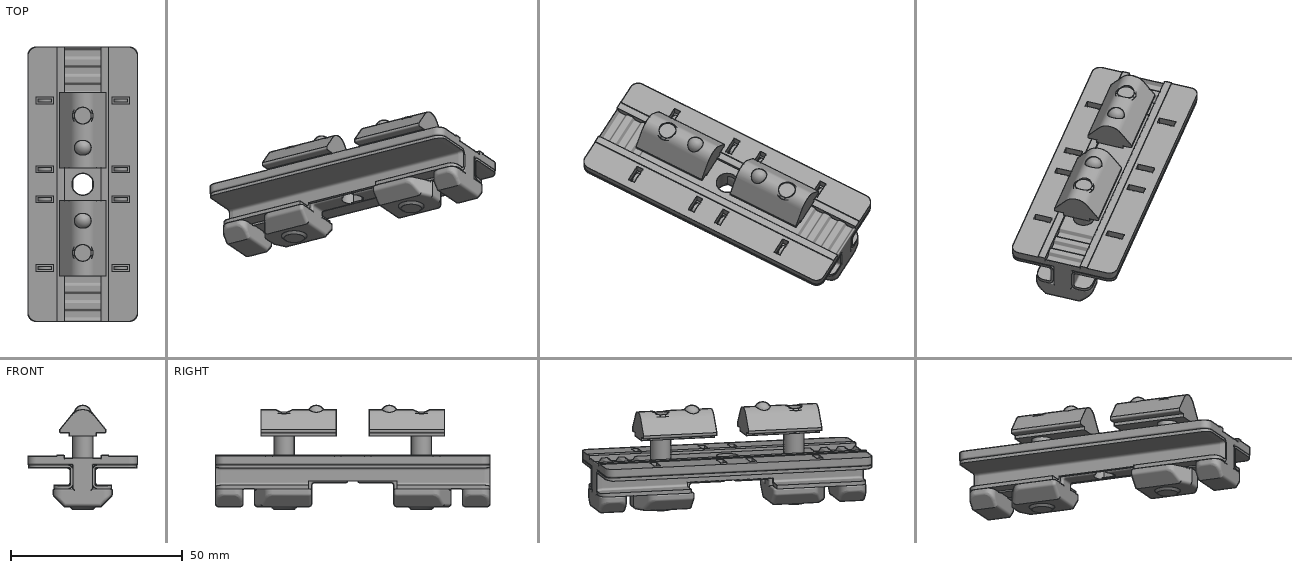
import cadquery as cq
import math


length = 80.0
plate_width = 32.0
plate_thickness = 2.6
corner_radius = 2.5
seat_fillet = 0.5
seat_corner_radius = 0.4
stem_half_width = 2.8
foot_half_width = 8.6
foot_bottom_z = -14.8
foot_shoulder_z = -11.4
foot_fillet = 1.0
end_foot_inner_y = 31.9
inner_foot_outer_y = 28.6
inner_foot_inner_y = 11.9
prow_angle = 30.0
prow_half_width = 2.2
arch_z = -7.8
arch_corner_radius = 0.7

channel_half_width = 5.4
channel_depth = 0.6
rail_half_width = 7.5
rail_height = 0.28
rail_bevel_width = 0.6
rail_bevel_height = 0.1
valley_depth = 1.0
valley_floor_width = 1.9
valley_top_width = 3.2
first_valley_y = 27.9
tooth_fillet = 0.2
valley_pitch = 5.0
valley_count = 3

slot_x = 11.0
slot_ys = (4.4, 24.4)
slot_length = 5.0
slot_width = 1.9
tab_length = 3.9
tab_width = 1.0
tab_height = 1.1

liner_thickness = 1.0
liner_lower_thickness = 1.1
channel_height = 5.0
liner_inner_radius = 0.7
liner_inset = 0.2
flare_depth = 0.2
flare_length = 1.5
liner_arch_margin_z = 0.6

nut_length = 22.0
nut_y = 15.8
nut_bottom_z = 5.8
nut_wing_z = 6.7
nut_top_z = 13.5
nut_boss_half_width = 4.0
nut_half_width = 6.7
nut_roof_radius = 4.2
nut_flank_angle = 51.0
nut_tip_fillet = 0.4
ball_diameter = 5.0
ball_y = 10.6
ball_top_z = 14.8
screw_y = 20.0
screw_diameter = 6.0
screw_tip_diameter = 4.9
screw_tip_z = 12.9
screw_head_top_diameter = 7.5
screw_head_bottom_diameter = 6.0
screw_head_height = 0.7
clearance_diameter = 6.3

passage_bottom_z = -plate_thickness - liner_thickness - channel_height
passage_middle_z = passage_bottom_z + channel_height / 2
foot_top_z = passage_bottom_z - liner_lower_thickness
sides = (-1, 1)
tiny = 0.001


def block(x0, x1, y0, y1, z0, z1):
    return cq.Workplane("XY").box(x1 - x0, y1 - y0, z1 - z0, centered=False).translate((x0, y0, z0))


def vertical_cylinder(diameter, y, z0, z1):
    return cq.Workplane("XY", origin=(0, y, z0)).circle(diameter / 2).extrude(z1 - z0)


def mirrored_y(shape):
    return shape.union(shape.mirror("XZ"))



def make_plate():
    half = plate_width / 2
    plate = block(-half, half, -length / 2, length / 2, -plate_thickness, 0)
    plate = plate.edges("|Z").fillet(corner_radius)
    for side in sides:
        rail = (
            cq.Workplane("XZ", origin=(0, length / 2, 0))
            .moveTo(side * channel_half_width, -channel_depth)
            .lineTo(side * channel_half_width, rail_height - rail_bevel_height)
            .lineTo(side * (channel_half_width + rail_bevel_width), rail_height)
            .lineTo(side * rail_half_width, rail_height)
            .lineTo(side * rail_half_width, -channel_depth)
            .close()
            .extrude(length)
        )
        plate = plate.union(rail)
    return plate


def make_stem():
    """Web under the plate, arched between the two inner feet."""
    web = block(-stem_half_width, stem_half_width, -length / 2, length / 2, foot_top_z, -plate_thickness)
    arch_y = inner_foot_inner_y
    arch = block(-foot_half_width, foot_half_width, -arch_y, arch_y, foot_bottom_z, arch_z)
    return web.cut(arch.edges("|X and >Z").fillet(arch_corner_radius))


def foot_profile(y_start, y_end):
    """Foot cross-section with 45 degree flanks, swept from y_start to y_end."""
    bottom_half_width = foot_half_width - (foot_shoulder_z - foot_bottom_z)
    return (
        cq.Workplane("XZ", origin=(0, y_end, 0))
        .moveTo(-foot_half_width, foot_top_z)
        .lineTo(-foot_half_width, foot_shoulder_z)
        .lineTo(-bottom_half_width, foot_bottom_z)
        .lineTo(bottom_half_width, foot_bottom_z)
        .lineTo(foot_half_width, foot_shoulder_z)
        .lineTo(foot_half_width, foot_top_z)
        .close()
        .extrude(y_end - y_start)
    )


def lower_edges(foot):
    """Every edge from the shoulder down, but not the two where a flank meets the bottom."""
    lower_zone = cq.selectors.BoxSelector(
        (-length, -length, foot_bottom_z - foot_fillet),
        (length, length, foot_shoulder_z + foot_fillet / 2),
        boundingbox=True,
    )
    flank_bottom_edges = foot.faces("<Z").edges("|Y").vals()
    return [
        edge for edge in foot.edges(lower_zone).vals()
        if not any(edge.isSame(skipped) for skipped in flank_bottom_edges)
    ]


def make_end_foot():
    foot = foot_profile(end_foot_inner_y, length / 2).edges("|Z").fillet(corner_radius)
    return foot.newObject(lower_edges(foot)).fillet(foot_fillet)


def make_inner_foot():
    prow_length = (foot_half_width - prow_half_width) * math.tan(math.radians(prow_angle))
    prow_start_y = inner_foot_outer_y - prow_length
    plan = (
        cq.Workplane("XY", origin=(0, 0, foot_bottom_z))
        .moveTo(-foot_half_width, inner_foot_inner_y)
        .lineTo(-foot_half_width, prow_start_y)
        .lineTo(-prow_half_width, inner_foot_outer_y)
        .lineTo(prow_half_width, inner_foot_outer_y)
        .lineTo(foot_half_width, prow_start_y)
        .lineTo(foot_half_width, inner_foot_inner_y)
        .close()
        .extrude(foot_top_z - foot_bottom_z)
    )
    foot = foot_profile(inner_foot_inner_y, inner_foot_outer_y).intersect(plan)
    foot = foot.edges("|Z").edges(">X or <X").edges(">Y").fillet(corner_radius)
    inner_corners = foot.edges("|Z").edges("<Y").vals()
    return foot.newObject(lower_edges(foot) + inner_corners).fillet(foot_fillet)


def cut_channel(body):
    """Channel between the rails, with rounded teeth across its floor near both ends."""
    channel = block(
        -channel_half_width, channel_half_width, -length / 2, length / 2, -channel_depth, rail_height
    )
    floor_z = -channel_depth - valley_depth
    body = body.cut(channel)
    for index in range(valley_count):
        y = first_valley_y + index * valley_pitch
        valley = (
            cq.Workplane("YZ", origin=(-channel_half_width, 0, 0))
            .moveTo(y - valley_top_width / 2, -channel_depth)
            .lineTo(y - valley_floor_width / 2, floor_z)
            .lineTo(y + valley_floor_width / 2, floor_z)
            .lineTo(y + valley_top_width / 2, -channel_depth)
            .close()
            .extrude(2 * channel_half_width)
        )
        body = body.cut(mirrored_y(valley))
    teeth = cq.selectors.BoxSelector(
        (-stem_half_width, -length, floor_z - tooth_fillet),
        (stem_half_width, length, tooth_fillet - channel_depth),
    )
    return body.edges(teeth).edges("|X").fillet(tooth_fillet)


def seat_edges(body):
    """Plate rim, foot rims, stem ends and arch: the outer edges around the liner seats."""
    rim_levels = (-plate_thickness, foot_top_z)
    found = []
    for edge in body.edges().vals():
        box = edge.BoundingBox()
        y_distance = abs(box.center.y)
        beyond_stem = max(box.xmax, -box.xmin) > stem_half_width + tiny
        is_level = box.zmax - box.zmin < tiny
        on_rim = beyond_stem and is_level and any(abs(box.zmax - z) < tiny for z in rim_levels)
        on_stem_side = not beyond_stem and box.xmax - box.xmin < tiny
        below_plate = foot_top_z - tiny < box.zmin and box.zmax < tiny - plate_thickness
        on_stem_end = on_stem_side and below_plate and y_distance > length / 2 - tiny
        in_arch = y_distance < inner_foot_inner_y + tiny and box.zmax < arch_z + tiny
        on_arch = on_stem_side and below_plate and in_arch
        if on_rim or on_stem_end or on_arch:
            found.append(edge)
    return found


def cut_slots(body):
    for x in (-slot_x, slot_x):
        for slot_y in slot_ys:
            for y in (-slot_y, slot_y):
                slot = cq.Workplane("XY", origin=(x, y, -plate_thickness)).rect(slot_length, slot_width)
                body = body.cut(slot.extrude(plate_thickness))
    return body


def make_housing():
    body = cut_channel(make_plate()).union(make_stem())
    body = body.union(mirrored_y(make_end_foot())).union(mirrored_y(make_inner_foot()))
    inner_corners = cq.selectors.BoxSelector(
        (-foot_half_width, -tiny, -plate_thickness - tiny), (foot_half_width, tiny, tiny - plate_thickness)
    )
    body = body.edges(inner_corners).edges("|Y").fillet(seat_corner_radius)
    body = body.newObject([body.solids().val().fillet(seat_fillet, seat_edges(body))])
    body = cut_slots(body)
    body = body.cut(vertical_cylinder(clearance_diameter, 0, foot_bottom_z, rail_height))
    for y in (-screw_y, screw_y):
        body = body.cut(vertical_cylinder(screw_diameter, y, foot_bottom_z, rail_height))
    return body



def passage_section(y, growth):
    """Rounded outline of the passage inside a liner at y, widened all around by growth."""
    x_min = stem_half_width + liner_thickness - growth
    x_max = plate_width
    height = channel_height + 2 * growth
    outline = cq.Workplane("XZ", origin=((x_min + x_max) / 2, y, passage_middle_z)).rect(x_max - x_min, height)
    wire = outline.val()
    return wire.fillet2D(liner_inner_radius, wire.Vertices())


def make_liner_strip():
    """C-shaped strip along the whole channel, its passage flared at both ends."""
    outer = block(
        stem_half_width, plate_width / 2, -length / 2, length / 2, foot_top_z, -plate_thickness
    )
    strip = outer.edges("|Y and <X").fillet(liner_inner_radius + liner_thickness)
    end_y = length / 2
    flare_y = end_y - flare_length
    for y_start, y_end, growth_start, growth_end in (
        (-flare_y, flare_y, 0, 0),
        (flare_y, end_y, 0, flare_depth),
        (-flare_y, -end_y, 0, flare_depth),
    ):
        sections = [passage_section(y_start, growth_start), passage_section(y_end, growth_end)]
        strip = strip.cut(cq.Workplane(cq.Solid.makeLoft(sections, True)))
    return strip


def liner_envelope():
    """Space a liner may fill: plate outline above, foot outline below, open over the arch."""
    upper_x = plate_width / 2 - liner_inset
    lower_x = foot_half_width - liner_inset
    upper = block(-upper_x, upper_x, -length / 2, length / 2, passage_middle_z, -plate_thickness)
    lower = block(-lower_x, lower_x, -length / 2, length / 2, foot_top_z, passage_middle_z)
    envelope = upper.edges("|Z").fillet(corner_radius).union(lower.edges("|Z").fillet(corner_radius))
    arch_y = inner_foot_inner_y + foot_fillet
    arch = block(
        -foot_half_width, foot_half_width, -arch_y, arch_y, foot_top_z, arch_z + liner_arch_margin_z
    )
    return envelope.cut(arch)


def make_tab(y):
    """Round-topped tab that stands on the upper leg of a liner, inside a plate slot."""
    return (
        cq.Workplane("XZ", origin=(slot_x, y + tab_width / 2, -plate_thickness))
        .moveTo(-tab_length / 2, -liner_thickness / 2)
        .lineTo(-tab_length / 2, 0)
        .threePointArc((0, tab_height), (tab_length / 2, 0))
        .lineTo(tab_length / 2, -liner_thickness / 2)
        .close()
        .extrude(tab_width)
    )


def make_liner(side):
    """Liner for the channel on the +X side, mirrored when side is -1."""
    liner = make_liner_strip().intersect(liner_envelope())
    for slot_y in slot_ys:
        liner = liner.union(mirrored_y(make_tab(slot_y)))
    for y in (-screw_y, screw_y):
        liner = liner.cut(vertical_cylinder(screw_diameter, y, foot_top_z, -plate_thickness))
    return liner if side > 0 else liner.mirror("YZ")



def make_screw(y):
    """Pin with a bevelled tip in the nut and a conical head under the foot."""
    bevel = (screw_diameter - screw_tip_diameter) / 2
    return (
        cq.Workplane("XZ", origin=(0, y, 0))
        .moveTo(0, foot_bottom_z - screw_head_height)
        .lineTo(screw_head_bottom_diameter / 2, foot_bottom_z - screw_head_height)
        .lineTo(screw_head_top_diameter / 2, foot_bottom_z)
        .lineTo(screw_diameter / 2, foot_bottom_z)
        .lineTo(screw_diameter / 2, screw_tip_z - bevel)
        .lineTo(screw_tip_diameter / 2, screw_tip_z)
        .lineTo(0, screw_tip_z)
        .close()
        .revolve(360, (0, 0, 0), (0, 1, 0))
    )


def make_ball(y):
    radius = ball_diameter / 2
    return cq.Workplane("XY", origin=(0, y, ball_top_z - radius)).sphere(radius)


def make_nut_blank(y):
    angle = math.radians(nut_flank_angle)
    roof_center_z = nut_top_z - nut_roof_radius
    roof_x = nut_roof_radius * math.sin(angle)
    roof_z = roof_center_z + nut_roof_radius * math.cos(angle)
    tip_z = roof_z - (nut_half_width - roof_x) * math.tan(angle)
    nut = (
        cq.Workplane("XZ", origin=(0, y + nut_length / 2, 0))
        .moveTo(-nut_boss_half_width, nut_bottom_z)
        .lineTo(nut_boss_half_width, nut_bottom_z)
        .lineTo(nut_boss_half_width, nut_wing_z)
        .lineTo(nut_half_width, nut_wing_z)
        .lineTo(nut_half_width, tip_z)
        .lineTo(roof_x, roof_z)
        .threePointArc((0, nut_top_z), (-roof_x, roof_z))
        .lineTo(-nut_half_width, tip_z)
        .lineTo(-nut_half_width, nut_wing_z)
        .lineTo(-nut_boss_half_width, nut_wing_z)
        .close()
        .extrude(nut_length)
    )
    return nut.edges("|Y").edges(">X or <X").edges("<Z").fillet(nut_tip_fillet)


def make_nut(side):
    """Nut on the +Y side or the -Y side, with a screw hole and a seat for its ball."""
    tip_hole = vertical_cylinder(screw_tip_diameter, side * screw_y, nut_bottom_z, nut_top_z)
    nut = make_nut_blank(side * nut_y).cut(tip_hole)
    return nut.cut(make_screw(side * screw_y)).cut(make_ball(side * ball_y))


housing = make_housing()
liners = [make_liner(side) for side in sides]
nuts = [make_nut(side) for side in sides]
balls = [make_ball(side * ball_y) for side in sides]
screws = [make_screw(side * screw_y) for side in sides]
bodies = [housing, *liners, *nuts, *balls, *screws]

result = cq.Compound.makeCompound([body.val() for body in bodies])